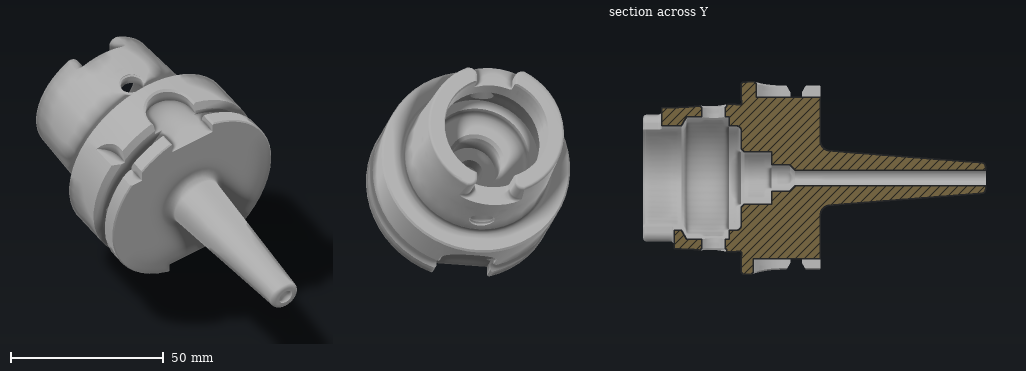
import cadquery as cq
import math


flange_radius = 63.0 / 2
flange_length = 26.0
front_chamfer = 0.6
back_chamfer = 0.4

groove_center = 18.0
groove_floor_width = 3.75
groove_mouth_width = 6.5
groove_radius = 55.0 / 2
groove_side_angle = 60.0
groove_flat_distance = 21.7
groove_flat_angle = 42.0

slot_end_center = 13.0
slot_floor_height = 26.5
upper_slot_width = 16.0
lower_slot_width = 18.0
slot_chamfer = 0.7
slot_rim_height = 29.0

notch_offset = 20.0
notch_cutter_radius = 8.0

shank_length = 32.0
gauge_radius = 48.04 / 2
gauge_distance = 6.3
taper_slope = 0.05
taper_end_distance = 1.9
relief_start_distance = 1.1
relief_fillet = 0.8
relief_depth = 0.2
relief_face_radius = 25.5
shank_edge_fillet = 1.1

drive_slot_width = 12.5
drive_slot_inner_height = 10.0
drive_land_height = 20.7
drive_land_half_width = 14.0
drive_corner_radius = 2.7
drive_floor_fillet = 1.2
upper_drive_depth = 6.0
lower_drive_depth = 10.0

mouth_radius = 34.0 / 2
mouth_bevel_height = 0.4
mouth_bevel_length = 0.85
lip_length = 12.5
chamber_radius = 40.0 / 2
chamber_cone_angle = 60.0
chamber_end = -4.0
bore_floor = 0.0
bore_floor_fillet = 1.5

thread_mouth_radius = 19.02 / 2
thread_radius = 16.92 / 2
thread_depth = 10.0
coolant_radius = 8.4 / 2
coolant_depth = 6.0
tool_radius = 4.99 / 2

cross_hole_radius = 7.5 / 2
cross_hole_mouth_radius = 8.4 / 2
cross_hole_position = -9.0

tip_position = 80.0
tip_radius = 10.0 / 2
neck_angle = 4.5
neck_base_fillet = 3.0
tip_fillet = 1.5

clearance = 5.0
selection_margin = 1.0

diagonal = math.sqrt(0.5)


def revolve_about_x(outline):
    """Close a half outline (X along the axis, Y as radius) and revolve it about X."""
    return outline.close().revolve(360, (0, 0, 0), (1, 0, 0))


def taper_radius(x):
    """Radius of the shank taper at position x."""
    return gauge_radius + taper_slope * (x + gauge_distance)


def key_slot(width, side):
    """Slot with a round inner end, open toward +X; side is +1 for +Z and -1 for -Z."""
    radius = width / 2
    outline = (
        cq.Workplane("XY", origin=(0, 0, side * slot_floor_height))
        .moveTo(slot_end_center, radius)
        .threePointArc((slot_end_center - radius, 0), (slot_end_center, -radius))
        .lineTo(flange_length + clearance, -radius)
        .lineTo(flange_length + clearance, radius)
        .close()
    )
    return outline.extrude(side * (flange_radius - slot_floor_height + clearance))


def chamfer_key_slots(flange):
    """Break the edges where the key slot walls meet the flange cylinder."""
    for side in (1, -1):
        slot_rim = cq.selectors.BoxSelector(
            (selection_margin, -flange_radius, side * slot_rim_height),
            (flange_length - selection_margin, flange_radius, side * (flange_radius + selection_margin)),
        )
        flange = flange.edges(slot_rim).chamfer(slot_chamfer)
    return flange


def orientation_notch():
    """Corner cut of a milling cutter with its axis along Z, run out toward +X."""
    outer = flange_radius + clearance
    radius = notch_cutter_radius
    corner = radius * diagonal
    outline = (
        cq.Workplane("XY", origin=(0, 0, notch_offset))
        .moveTo(flange_length + clearance, -notch_offset)
        .lineTo(slot_end_center, -notch_offset)
        .threePointArc(
            (slot_end_center - corner, -notch_offset - radius + corner),
            (slot_end_center - radius, -notch_offset - radius),
        )
        .lineTo(slot_end_center - radius, -outer)
        .lineTo(flange_length + clearance, -outer)
        .close()
    )
    return outline.extrude(flange_radius)


def gripper_groove():
    """Ring with a flat floor, short upright walls and beveled mouth."""
    half_floor = groove_floor_width / 2
    half_mouth = groove_mouth_width / 2
    outer = flange_radius + clearance
    side_drop = (half_mouth - half_floor) * math.tan(math.radians(groove_side_angle))
    wall_top = flange_radius - side_drop
    return revolve_about_x(
        cq.Workplane("XY")
        .moveTo(groove_center - half_floor, groove_radius)
        .lineTo(groove_center - half_floor, wall_top)
        .lineTo(groove_center - half_mouth, flange_radius)
        .lineTo(groove_center - half_mouth, outer)
        .lineTo(groove_center + half_mouth, outer)
        .lineTo(groove_center + half_mouth, flange_radius)
        .lineTo(groove_center + half_floor, wall_top)
        .lineTo(groove_center + half_floor, groove_radius)
    )


def groove_flat():
    """Flat across the groove floor, facing -Y and +Z."""
    height = flange_radius - groove_flat_distance
    flat = cq.Workplane("XY").box(groove_floor_width, height, 2 * flange_radius)
    flat = flat.translate((groove_center, -groove_flat_distance - height / 2, 0))
    return flat.rotate((0, 0, 0), (1, 0, 0), -groove_flat_angle)


def edge_chamfer(x, size, inward):
    """Ring that bevels the flange rim at x; inward is the X direction into the flange."""
    return revolve_about_x(
        cq.Workplane("XY")
        .moveTo(x, flange_radius - size)
        .lineTo(x + inward * size, flange_radius)
        .lineTo(x + inward * size, flange_radius + clearance)
        .lineTo(x, flange_radius + clearance)
    )


def face_relief():
    """Shallow undercut in the flange face around the root of the shank."""
    corner = relief_fillet * diagonal
    center_x = relief_depth - relief_fillet
    center_radius = gauge_radius + relief_fillet
    return revolve_about_x(
        cq.Workplane("XY")
        .moveTo(0, relief_face_radius)
        .lineTo(relief_depth, center_radius)
        .threePointArc(
            (center_x + corner, center_radius - corner),
            (center_x, gauge_radius),
        )
        .lineTo(-relief_start_distance, gauge_radius)
        .lineTo(-taper_end_distance, taper_radius(-taper_end_distance))
        .lineTo(-taper_end_distance, relief_face_radius)
    )


def make_flange():
    flange = cq.Workplane("YZ").circle(flange_radius).extrude(flange_length)
    flange = flange.cut(key_slot(upper_slot_width, 1))
    flange = flange.cut(key_slot(lower_slot_width, -1))
    flange = chamfer_key_slots(flange)
    flange = flange.cut(orientation_notch())
    flange = flange.cut(gripper_groove()).cut(groove_flat())
    flange = flange.cut(edge_chamfer(0, front_chamfer, 1))
    return flange.cut(edge_chamfer(flange_length, back_chamfer, -1))


def drive_slot(depth, side):
    """Slot in the shank end, flaring over rounded corners onto flat lands."""
    half = drive_slot_width / 2
    corner = drive_corner_radius * (1 - diagonal)
    bottom = side * drive_slot_inner_height
    corner_start = side * (drive_land_height - drive_corner_radius)
    corner_middle = side * (drive_land_height - corner)
    land = side * drive_land_height
    top = side * flange_radius
    outline = (
        cq.Workplane("YZ", origin=(-shank_length - clearance, 0, 0))
        .moveTo(-half, bottom)
        .lineTo(-half, corner_start)
        .threePointArc((-half - corner, corner_middle), (-half - drive_corner_radius, land))
        .lineTo(-drive_land_half_width, land)
        .lineTo(-drive_land_half_width, top)
        .lineTo(drive_land_half_width, top)
        .lineTo(drive_land_half_width, land)
        .lineTo(half + drive_corner_radius, land)
        .threePointArc((half + corner, corner_middle), (half, corner_start))
        .lineTo(half, bottom)
        .close()
    )
    slot = outline.extrude(clearance + depth)
    return slot.faces(">X").edges().fillet(drive_floor_fillet)


def make_shank():
    shank = revolve_about_x(
        cq.Workplane("XY")
        .moveTo(-shank_length, 0)
        .lineTo(-shank_length, taper_radius(-shank_length))
        .lineTo(0, taper_radius(0))
        .lineTo(0, 0)
    )
    shank = shank.cut(drive_slot(upper_drive_depth, 1))
    shank = shank.cut(drive_slot(lower_drive_depth, -1))
    return shank.faces("<X").edges().fillet(shank_edge_fillet)


def make_neck():
    neck_length = tip_position - flange_length
    base_radius = tip_radius + neck_length * math.tan(math.radians(neck_angle))
    neck = revolve_about_x(
        cq.Workplane("XY")
        .moveTo(flange_length, 0)
        .lineTo(flange_length, base_radius)
        .lineTo(tip_position, tip_radius)
        .lineTo(tip_position, 0)
    )
    return neck.faces(">X").edges().fillet(tip_fillet)


def clamping_bore():
    lip_end = -shank_length + lip_length
    cone_length = (chamber_radius - mouth_radius) / math.tan(math.radians(chamber_cone_angle))
    bore = revolve_about_x(
        cq.Workplane("XY")
        .moveTo(-shank_length, 0)
        .lineTo(-shank_length, mouth_radius + mouth_bevel_height)
        .lineTo(-shank_length + mouth_bevel_length, mouth_radius)
        .lineTo(lip_end, mouth_radius)
        .lineTo(lip_end + cone_length, chamber_radius)
        .lineTo(chamber_end, chamber_radius)
        .lineTo(chamber_end, mouth_radius)
        .lineTo(bore_floor, mouth_radius)
        .lineTo(bore_floor, 0)
    )
    return bore.faces(">X").edges().fillet(bore_floor_fillet)


def center_bore():
    """Thread core, coolant hole with a conical end, and tool bore through to the tip."""
    mouth_bevel = thread_mouth_radius - thread_radius
    thread_end = bore_floor + thread_depth
    coolant_end = thread_end + coolant_depth
    return revolve_about_x(
        cq.Workplane("XY")
        .moveTo(bore_floor, 0)
        .lineTo(bore_floor, thread_mouth_radius)
        .lineTo(bore_floor + mouth_bevel, thread_radius)
        .lineTo(thread_end, thread_radius)
        .lineTo(thread_end, coolant_radius)
        .lineTo(coolant_end, coolant_radius)
        .lineTo(coolant_end + coolant_radius - tool_radius, tool_radius)
        .lineTo(tip_position, tool_radius)
        .lineTo(tip_position, 0)
    )


def cross_hole():
    """Radial hole through both walls of the shank, with beveled mouths."""
    surface = taper_radius(cross_hole_position)
    bevel = cross_hole_mouth_radius - cross_hole_radius
    half_profile = (
        cq.Workplane("XZ")
        .moveTo(0, -flange_radius)
        .lineTo(cross_hole_mouth_radius, -flange_radius)
        .lineTo(cross_hole_mouth_radius, -surface + bevel)
        .lineTo(cross_hole_radius, -surface + 2 * bevel)
        .lineTo(cross_hole_radius, surface - 2 * bevel)
        .lineTo(cross_hole_mouth_radius, surface - bevel)
        .lineTo(cross_hole_mouth_radius, flange_radius)
        .lineTo(0, flange_radius)
        .close()
    )
    return half_profile.revolve(360, (0, 0, 0), (0, 1, 0)).translate((cross_hole_position, 0, 0))


def fillet_neck_base(body):
    root = cq.selectors.BoxSelector(
        (flange_length - selection_margin, -mouth_radius, -mouth_radius),
        (flange_length + selection_margin, mouth_radius, mouth_radius),
    )
    return body.edges(root).fillet(neck_base_fillet)


result = make_flange().union(make_neck())
result = fillet_neck_base(result)
result = result.union(make_shank()).cut(face_relief())
result = result.cut(clamping_bore()).cut(center_bore()).cut(cross_hole())